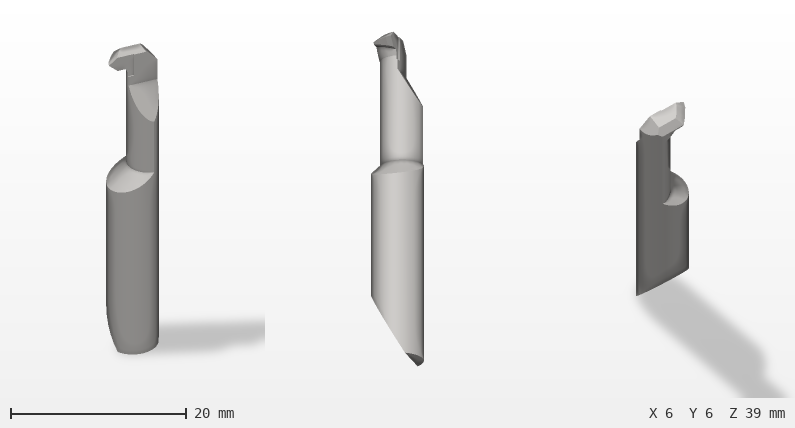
import cadquery as cq
import math

length = 39.0
shank_radius = 3.0
half_length = length / 2

neck_radius = 2.57
neck_center_y = 2.0
neck_bottom_z = 24.0
neck_top_z = 36.6
flat_x = -2.5
shoulder_drop = 3.12

edge_z = 38.2
heel_z = 37.15
heel_setback = 1.15
face_x = 0.2
rake_x = 0.08
rake_back_y = 0.1
rake_bottom_z = 36.15
underside_slope = math.radians(17)
flare_per_height = 0.47
back_chamfer_y = 1.6
top_nose = [(-1.68, -0.65), (-1.17, -1.17), (-0.4, -1.68), (face_x, -1.9)]
edge_nose = [(flat_x, -1.25), (-1.7, -1.95), (-0.6, -2.73), (face_x, -3.0)]

cut_angle = math.radians(30)
runout_top_z = 34.95
tail_flat_x = 1.65


def prism_along_y(points):
    """Extrude an XZ outline right across the bar."""
    return cq.Workplane("XZ").polyline(points).close().extrude(half_length, both=True)


def make_cylinder(radius, bottom_z, top_z, center_y=0.0):
    base = cq.Workplane("XY", origin=(0, center_y, bottom_z))
    return base.circle(radius).extrude(top_z - bottom_z)


def make_cone(bottom_radius, top_radius, bottom_z, top_z):
    """Cone frustum on the neck axis."""
    height = top_z - bottom_z
    axis_base = cq.Vector(0, neck_center_y, bottom_z)
    return cq.Workplane(cq.Solid.makeCone(bottom_radius, top_radius, height, axis_base))


def make_shank():
    """Round shank whose top end slopes up to the neck as a 45 degree cone."""
    shoulder_base_z = neck_bottom_z - shoulder_drop
    lower = make_cylinder(shank_radius, 0, shoulder_base_z)
    cone = make_cone(neck_radius + shoulder_drop, neck_radius, shoulder_base_z, neck_bottom_z)
    upper = make_cylinder(shank_radius, shoulder_base_z, neck_bottom_z).intersect(cone)
    return lower.union(upper)


def make_neck():
    """Neck cylinder with a flare under the head."""
    straight = make_cylinder(neck_radius, neck_bottom_z, length, neck_center_y)
    flare_radius = neck_radius + flare_per_height * (length - neck_top_z)
    flare = make_cone(neck_radius, flare_radius, neck_top_z, length)
    return straight.union(flare)


def nose_section(nose, z):
    """Closed wire of a nose outline extended straight back past the bar."""
    outline = nose + [(face_x, shank_radius), (nose[0][0], shank_radius)]
    return cq.Wire.makePolygon([cq.Vector(x, y, z) for x, y in outline], close=True)


def make_head_envelope():
    """Bevelled nose above the cutting edge and clearance below it."""
    heel_nose = [(x, y + heel_setback) for x, y in edge_nose]
    top = nose_section(top_nose, length)
    edge = nose_section(edge_nose, edge_z)
    heel = nose_section(heel_nose, heel_z)
    bevel = cq.Workplane(cq.Solid.makeLoft([edge, top], True))
    clearance = cq.Workplane(cq.Solid.makeLoft([heel, edge], True))
    return bevel.union(clearance)


def make_above_underside():
    """Region above the head's underside, which climbs toward the side flat."""
    left_z = heel_z + (face_x + shank_radius) * math.tan(underside_slope)
    return prism_along_y([(face_x, heel_z), (face_x, length), (-shank_radius, length), (-shank_radius, left_z)])


def make_upper():
    """Neck and head, trimmed to the bar, side flat and top bevels."""
    envelope = make_head_envelope()
    overhang = envelope.intersect(make_above_underside())
    bar = make_cylinder(shank_radius, neck_bottom_z, length)
    side_trim = prism_along_y([
        (flat_x, neck_bottom_z),
        (shank_radius, neck_bottom_z),
        (shank_radius, length),
        (top_nose[0][0], length),
        (flat_x, edge_z),
    ])
    stem_top = make_cylinder(shank_radius, heel_z, length).intersect(envelope)
    stem = make_neck().intersect(make_cylinder(shank_radius, neck_bottom_z, heel_z).union(stem_top))
    return stem.union(overhang).intersect(bar).intersect(side_trim)


def make_half_cut():
    """Removes the +X half of the head and runs out down the neck."""
    runout_bottom_z = runout_top_z - (shank_radius - face_x) / math.tan(cut_angle)
    return prism_along_y([
        (face_x, length),
        (face_x, runout_top_z),
        (shank_radius, runout_bottom_z),
        (shank_radius, length),
    ])


def make_rake_cut():
    """Shallow recess that forms the cutting face."""
    return cq.Workplane("XY").box(
        shank_radius, shank_radius + rake_back_y, length - rake_bottom_z, centered=False
    ).translate((rake_x, -shank_radius, rake_bottom_z))


def make_back_chamfer():
    """45 degree bevel on the back of the head."""
    chamfer = shank_radius - back_chamfer_y
    outline = [(back_chamfer_y, length), (shank_radius, length), (shank_radius, length - chamfer)]
    return cq.Workplane("YZ").polyline(outline).close().extrude(shank_radius, both=True)


def make_tail_cut():
    """Sloping cut across the lower end of the shank."""
    tail_z = (shank_radius + tail_flat_x) / math.tan(cut_angle)
    return prism_along_y([(-shank_radius, 0), (tail_flat_x, 0), (-shank_radius, tail_z)])


result = make_shank().union(make_upper())
for cut in (make_half_cut(), make_rake_cut(), make_back_chamfer(), make_tail_cut()):
    result = result.cut(cut)